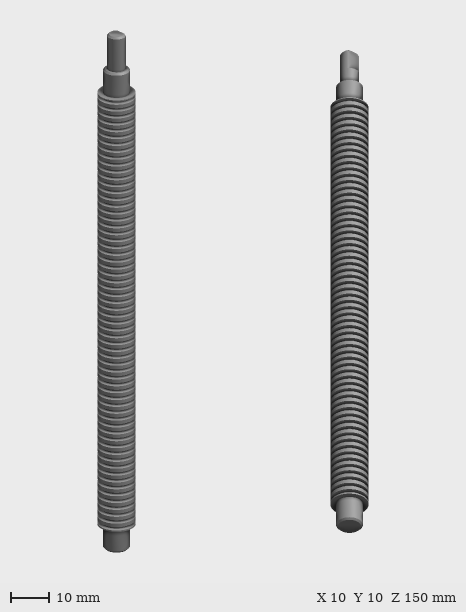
import cadquery as cq

total_length = 150.0
journal_length = 10.0
toothed_length = 126.0
flat_length = 6.0

body_diameter = 7.0
tooth_diameter = 10.0
root_diameter = 8.0
journal_diameter = 5.0

groove_count = 63
groove_mouth_width = 0.99
groove_root_width = 0.8
lower_rim_width = 0.44
upper_rim_width = 0.28

edge_chamfer = 0.5
flat_offset = 1.5

body_length = total_length - journal_length
toothed_start = (body_length - toothed_length) / 2
toothed_end = toothed_start + toothed_length
first_groove_center = toothed_start + lower_rim_width + groove_mouth_width / 2
last_groove_center = toothed_end - upper_rim_width - groove_mouth_width / 2
groove_pitch = (last_groove_center - first_groove_center) / (groove_count - 1)


def cylinder(diameter, start, length):
    """Solid cylinder on the Z axis, rising from the given start height."""
    return cq.Workplane("XY").workplane(offset=start).circle(diameter / 2).extrude(length)


def make_body():
    """Plain rod, chamfered at both ends."""
    return cylinder(body_diameter, 0, body_length).faces("<Z or >Z").chamfer(edge_chamfer)


def make_journal():
    """Reduced shaft end with a chamfered tip and a flat on its +Y side."""
    journal = cylinder(journal_diameter, body_length, journal_length)
    journal = journal.faces(">Z").chamfer(edge_chamfer)
    flat_cut = (
        cq.Workplane("XY")
        .box(journal_diameter, journal_diameter, flat_length, centered=(True, False, False))
        .translate((0, flat_offset, total_length - flat_length))
    )
    return journal.cut(flat_cut)


def make_toothed_section():
    """Round rack: a revolved half profile with evenly spaced grooves that narrow toward the root."""
    root_radius = root_diameter / 2
    tooth_radius = tooth_diameter / 2
    half_mouth = groove_mouth_width / 2
    half_root = groove_root_width / 2

    profile = cq.Workplane("XZ").moveTo(0, toothed_start).lineTo(tooth_radius, toothed_start)
    for index in range(groove_count):
        center = first_groove_center + index * groove_pitch
        profile = (
            profile.lineTo(tooth_radius, center - half_mouth)
            .lineTo(root_radius, center - half_root)
            .lineTo(root_radius, center + half_root)
            .lineTo(tooth_radius, center + half_mouth)
        )
    profile = profile.lineTo(tooth_radius, toothed_end).lineTo(0, toothed_end).close()
    return profile.revolve(360, (0, 0, 0), (0, 1, 0))


result = make_body().union(make_toothed_section()).union(make_journal())